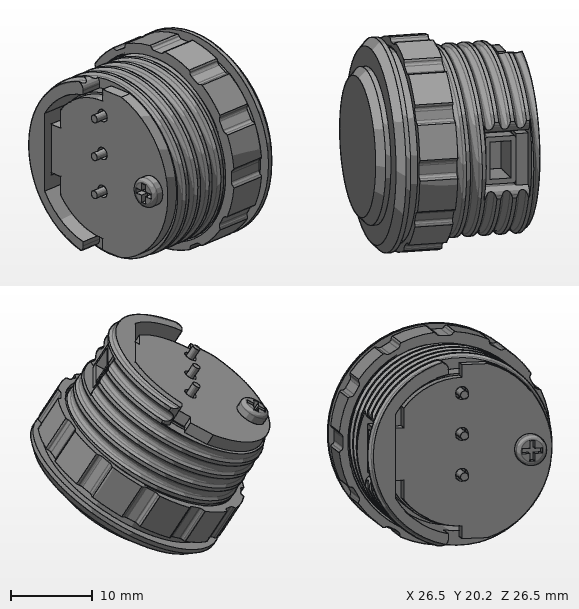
import cadquery as cq
import math


FLANGE_RADIUS = 13.25
CAP_RADIUS = 9.75
EDGE_CHAMFER = 1.0
FLANGE_START = 16.83
FLANGE_END = 18.42
HOUSING_END = 20.1

PITCH = 2.0
CREST_WIDTH = PITCH / 4
THREAD_DEPTH = PITCH / 4
FLANK_ANGLE = math.radians(45)
CREST_RADIUS = 11.9
ROOT_RADIUS = CREST_RADIUS - THREAD_DEPTH
ROOT_ROUND = ((PITCH - CREST_WIDTH) / 2 - THREAD_DEPTH) / (math.sqrt(2) - 1)
THREAD_END = 15.18
THREAD_TURNS = 9
OVERLAP = 0.08

LIP_DEPTH = 2.85
LIP_END_X = -2.0
LIP_FLAT_Z = 11.45
LIP_ROUND = 1.0
BORE_RADIUS = 10.1
BORE_FLAT_X = -8.65
BOSS_RADIUS = 9.5

WINDOW_START = 1.17
WINDOW_END = 6.92
WINDOW_HALF_HEIGHT = 3.45
WINDOW_FACE_X = -10.86
WINDOW_ROUND = 1.0

CONNECTOR_FACE_X = -10.65
CONNECTOR_LENGTH = 5.83
CONNECTOR_START = LIP_DEPTH
CONNECTOR_END = 6.73
CONNECTOR_HEIGHT = 6.0
CONNECTOR_ROUND = 0.3
CONNECTOR_HOLE_WIDTH = 2.65
CONNECTOR_HOLE_HEIGHT = 4.72
CONNECTOR_HOLE_DEPTH = 4.77

INSERT_FACE = 1.35
INSERT_RADIUS = 9.25
LOBE_RADIUS = 11.3
LOBE_HALF_HEIGHT = 10.8
TAB_HALF_HEIGHT = 3.25
TAB_ROOT_X = -7.3

TIP_Y = -0.08
PIN_RADIUS = 0.5
PIN_HOLE_RADIUS = 0.8
PIN_SPACING = 5.1
PIN_MIDDLE_Z = 2.2
PIN_HEIGHTS = [PIN_MIDDLE_Z + step * PIN_SPACING for step in (-1, 0, 1)]
SCREW_X = 8.5
SCREW_RADIUS = 1.9
SCREW_ROUND = 0.5
CROSS_LENGTH = 2.55
CROSS_WIDTH = 0.64
CROSS_DEPTH = 1.0

NUT_RADIUS = 13.28
NUT_START = 10.86
NUT_END = 15.65
NUT_MINOR_RADIUS = 11.65
NUT_MAJOR_RADIUS = 12.16
NUT_RIDGE_HALF_WIDTH = 0.093
NUT_RIDGE_OFFSET = -0.1
NUT_TURNS = 4
NUT_RIDGE_STOP = 14.58
NOTCH_COUNT = 12
NOTCH_DEPTH = 0.5
NOTCH_FLAT_HALF = 0.58
NOTCH_BEND_HALF = 1.03
NOTCH_BEND_RISE = 0.252
NOTCH_HALF_WIDTH = 1.3


def section(start):
    """Workplane across the axis at Y = start, with X to the right and Z up."""
    return cq.Workplane("XZ", origin=(0, start, 0))


def prism(outline, start, end):
    """Extrude an outline drawn on section(start) as far as Y = end."""
    return outline.extrude(start - end)


def disc(radius, start, end):
    return prism(section(start).circle(radius), start, end)


def block(x_range, y_range, z_range):
    lengths = [high - low for low, high in (x_range, y_range, z_range)]
    corner = (x_range[0], y_range[0], z_range[0])
    return cq.Workplane("XY").box(*lengths, centered=False).translate(corner)


def helix_sweep(outline, path_radius, end, turns):
    """Right-handed coil about Y whose middle reaches Y = end on the +X side.

    The outline is drawn around zero height, with the distance from the axis to the right.
    """
    height = turns * PITCH
    path = cq.Workplane(cq.Wire.makeHelix(PITCH, height, path_radius))
    coil = outline.sweep(path, isFrenet=True)
    return coil.rotate((0, 0, 0), (1, 0, 0), -90).translate((0, end - height, 0))


def housing_blank():
    return (
        cq.Workplane("XY")
        .moveTo(0, 0)
        .lineTo(CREST_RADIUS, 0)
        .lineTo(CREST_RADIUS, FLANGE_START)
        .lineTo(FLANGE_RADIUS, FLANGE_START)
        .lineTo(FLANGE_RADIUS, FLANGE_END - EDGE_CHAMFER)
        .lineTo(FLANGE_RADIUS - EDGE_CHAMFER, FLANGE_END)
        .lineTo(CAP_RADIUS, FLANGE_END)
        .lineTo(CAP_RADIUS, HOUSING_END - EDGE_CHAMFER)
        .lineTo(CAP_RADIUS - EDGE_CHAMFER, HOUSING_END)
        .lineTo(0, HOUSING_END)
        .close()
        .revolve(360, (0, 0, 0), (0, 1, 0))
    )


def housing_thread():
    """Groove with straight 45 degree flanks that run into a rounded root."""
    bend_half_width = ROOT_ROUND * math.sin(FLANK_ANGLE)
    bend_radius = ROOT_RADIUS + ROOT_ROUND * (1 - math.cos(FLANK_ANGLE))
    outer_radius = CREST_RADIUS + OVERLAP
    outer_half_width = bend_half_width + outer_radius - bend_radius
    outline = (
        cq.Workplane("XZ")
        .moveTo(outer_radius, -outer_half_width)
        .lineTo(bend_radius, -bend_half_width)
        .threePointArc((ROOT_RADIUS, 0), (bend_radius, bend_half_width))
        .lineTo(outer_radius, outer_half_width)
        .close()
    )
    return helix_sweep(outline, ROOT_RADIUS, THREAD_END, THREAD_TURNS)


def lip_space():
    """What is cut from the front stretch so that only the round-ended lip stays."""
    stretch = block((-FLANGE_RADIUS, FLANGE_RADIUS), (0, LIP_DEPTH), (-FLANGE_RADIUS, FLANGE_RADIUS))
    lip = block((-FLANGE_RADIUS, LIP_END_X), (0, LIP_DEPTH), (-LIP_FLAT_Z, LIP_FLAT_Z))
    lip = lip.edges("|Y and >X").fillet(LIP_ROUND)
    return stretch.cut(lip)


def bore(start, end):
    room = block((BORE_FLAT_X, FLANGE_RADIUS), (start, end), (-FLANGE_RADIUS, FLANGE_RADIUS))
    return disc(BORE_RADIUS, start, end).intersect(room)


def housing_bore():
    """Open bore at the mouth, going on as a ring-shaped gap around the central boss."""
    return bore(0, WINDOW_END).cut(disc(BOSS_RADIUS, LIP_DEPTH, WINDOW_END))


def window():
    """Opening through the wall whose long edges roll over onto a flat face."""
    roll_x = WINDOW_FACE_X + WINDOW_ROUND
    roll_z = WINDOW_HALF_HEIGHT + WINDOW_ROUND
    outline = (
        section(WINDOW_START)
        .moveTo(BORE_FLAT_X, 0)
        .lineTo(BORE_FLAT_X, WINDOW_HALF_HEIGHT)
        .lineTo(roll_x, WINDOW_HALF_HEIGHT)
        .tangentArcPoint((WINDOW_FACE_X, roll_z), relative=False)
        .lineTo(WINDOW_FACE_X, BORE_RADIUS)
        .lineTo(-FLANGE_RADIUS, BORE_RADIUS)
        .lineTo(-FLANGE_RADIUS, 0)
        .mirrorX()
    )
    return prism(outline, WINDOW_START, WINDOW_END)


def connector_envelope():
    envelope = block(
        (CONNECTOR_FACE_X, CONNECTOR_FACE_X + CONNECTOR_LENGTH),
        (CONNECTOR_START, CONNECTOR_END),
        (-CONNECTOR_HEIGHT / 2, CONNECTOR_HEIGHT / 2),
    )
    return envelope.edges("|X").fillet(CONNECTOR_ROUND)


def make_housing():
    return (
        housing_blank()
        .cut(housing_thread())
        .cut(lip_space())
        .cut(housing_bore())
        .cut(window())
        .cut(connector_envelope())
    )


def make_connector():
    hole = (
        connector_envelope()
        .faces("<X")
        .workplane(centerOption="CenterOfBoundBox")
        .rect(CONNECTOR_HOLE_WIDTH, CONNECTOR_HOLE_HEIGHT)
        .extrude(-CONNECTOR_HOLE_DEPTH, combine=False)
    )
    return connector_envelope().cut(hole)


def make_insert():
    depth = (INSERT_FACE, LIP_DEPTH)
    plate = disc(INSERT_RADIUS, *depth)
    plate = plate.intersect(block((TAB_ROOT_X, FLANGE_RADIUS), depth, (-FLANGE_RADIUS, FLANGE_RADIUS)))
    lobe = disc(LOBE_RADIUS, *depth)
    lobe = lobe.intersect(block((0, FLANGE_RADIUS), depth, (-LOBE_HALF_HEIGHT, LOBE_HALF_HEIGHT)))
    tab = block((WINDOW_FACE_X, 0), depth, (-TAB_HALF_HEIGHT, TAB_HALF_HEIGHT))
    insert = plate.union(lobe).union(tab)
    for z in PIN_HEIGHTS:
        insert = insert.cut(disc(PIN_HOLE_RADIUS, *depth).translate((0, 0, z)))
    return insert


def make_pin(z):
    return disc(PIN_RADIUS, TIP_Y, LIP_DEPTH).translate((0, 0, z))


def make_screw():
    head = disc(SCREW_RADIUS, TIP_Y, INSERT_FACE).faces("<Y").edges().fillet(SCREW_ROUND)
    cross_floor = TIP_Y + CROSS_DEPTH
    for size in ((CROSS_LENGTH, CROSS_WIDTH), (CROSS_WIDTH, CROSS_LENGTH)):
        head = head.cut(prism(section(TIP_Y).rect(*size), TIP_Y, cross_floor))
    return head.translate((SCREW_X, 0, 0))


def notch():
    floor_z = NUT_RADIUS - NOTCH_DEPTH
    rim_z = math.sqrt(NUT_RADIUS**2 - NOTCH_HALF_WIDTH**2)
    outside_z = NUT_RADIUS + NOTCH_DEPTH
    outline = (
        section(NUT_START)
        .moveTo(0, floor_z)
        .lineTo(NOTCH_FLAT_HALF, floor_z)
        .tangentArcPoint((NOTCH_BEND_HALF, floor_z + NOTCH_BEND_RISE), relative=False)
        .tangentArcPoint((NOTCH_HALF_WIDTH, rim_z), relative=False)
        .lineTo(NOTCH_HALF_WIDTH, outside_z)
        .lineTo(0, outside_z)
        .mirrorY()
    )
    return prism(outline, NUT_START, NUT_END)


def nut_ridge():
    """Thread ridge with 45 degree flanks that runs inside the housing groove, clear of its walls."""
    outer_radius = NUT_MAJOR_RADIUS + OVERLAP
    outer_half_width = NUT_RIDGE_HALF_WIDTH + outer_radius - NUT_MINOR_RADIUS
    outline = (
        cq.Workplane("XZ")
        .moveTo(outer_radius, -outer_half_width)
        .lineTo(NUT_MINOR_RADIUS, -NUT_RIDGE_HALF_WIDTH)
        .lineTo(NUT_MINOR_RADIUS, NUT_RIDGE_HALF_WIDTH)
        .lineTo(outer_radius, outer_half_width)
        .close()
    )
    ridge = helix_sweep(outline, NUT_MINOR_RADIUS, THREAD_END + NUT_RIDGE_OFFSET, NUT_TURNS)
    return ridge.intersect(disc(NUT_RADIUS, NUT_START, NUT_RIDGE_STOP))


def make_nut():
    ring = disc(NUT_RADIUS, NUT_START, NUT_END).cut(disc(NUT_MAJOR_RADIUS, NUT_START, NUT_END))
    nut = ring.union(nut_ridge())
    for index in range(NOTCH_COUNT):
        turn = index * 360 / NOTCH_COUNT
        nut = nut.cut(notch().rotate((0, 0, 0), (0, 1, 0), turn))
    return nut


housing = make_housing()
nut = make_nut()
insert = make_insert()
connector = make_connector()
screw = make_screw()
pins = [make_pin(z) for z in PIN_HEIGHTS]

result = cq.Compound.makeCompound(
    [housing.val(), nut.val(), insert.val(), connector.val(), screw.val(), *[pin.val() for pin in pins]]
)